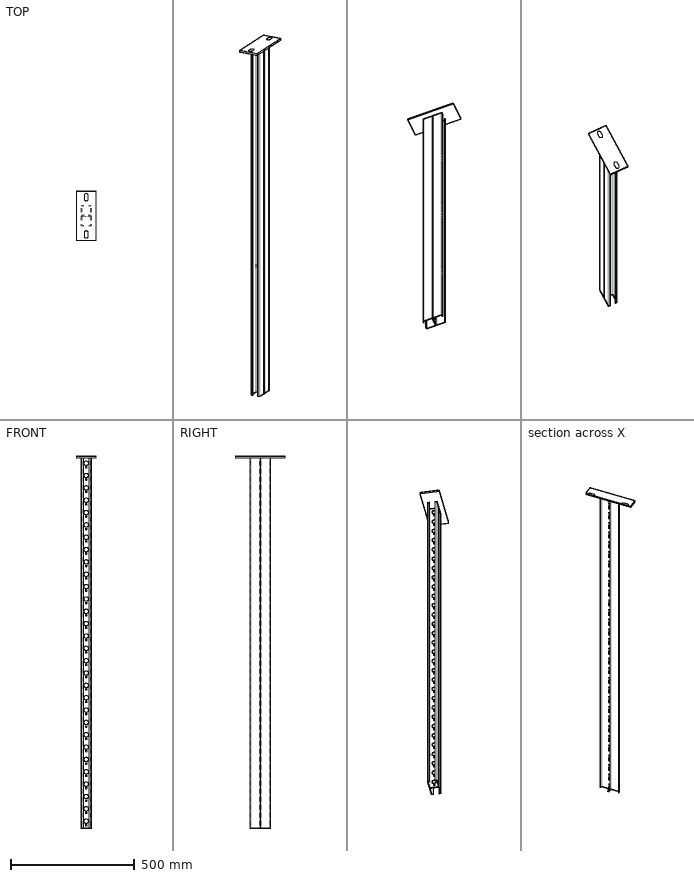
import cadquery as cq

plate_x = 80.0
plate_y = 200.0
plate_thickness = 8.0
plate_slot_spacing = 151.0
plate_slot_length = 30.0
plate_slot_width = 15.0
plate_slot_depth = 0.8

total_height = 1508.0
channel_length = total_height - plate_thickness
channel_width = 40.0
channel_depth = 42.0
wall = 2.5
bend_radius = 3.8
mouth_width = 23.0

pair_count = 30
pair_pitch = channel_length / pair_count
large_hole_diameter = 18.0
large_hole_rise = 5.0
small_hole_diameter = 6.0
small_hole_drop = 12.0


def make_head_plate():
    """Flat plate with a shallow slot in its top face near each end."""
    half_spacing = plate_slot_spacing / 2
    slots = (
        cq.Workplane("XY", origin=(0, 0, total_height - plate_slot_depth))
        .pushPoints([(0, -half_spacing), (0, half_spacing)])
        .slot2D(plate_slot_length, plate_slot_width, 90)
        .extrude(plate_slot_depth)
    )
    return (
        cq.Workplane("XY", origin=(0, 0, channel_length))
        .box(plate_x, plate_y, plate_thickness, centered=(True, True, False))
        .cut(slots)
    )


def rounded_bar(width, depth, radius):
    """Upright bar as long as a channel, with rounded corners, centred on the Z axis."""
    return cq.Workplane("XY").rect(width, depth).extrude(channel_length).edges("|Z").fillet(radius)


def make_channel():
    """Channel with its web on y = 0 and its mouth, between two lips, facing -Y."""
    outside = rounded_bar(channel_width, channel_depth, bend_radius)
    inside = rounded_bar(channel_width - 2 * wall, channel_depth - 2 * wall, bend_radius - wall)
    mouth = (
        cq.Workplane("XY")
        .center(0, -channel_depth / 2)
        .rect(mouth_width, 2 * wall)
        .extrude(channel_length)
    )
    return outside.cut(inside).cut(mouth).translate((0, -channel_depth / 2, 0))


def make_web_holes():
    """Cutters for the hole pairs: a large hole with a small one below it."""
    middles = [(i + 0.5) * pair_pitch for i in range(pair_count)]
    large_holes = (
        cq.Workplane("XZ")
        .pushPoints([(0, z + large_hole_rise) for z in middles])
        .circle(large_hole_diameter / 2)
        .extrude(wall)
    )
    small_holes = (
        cq.Workplane("XZ")
        .pushPoints([(0, z - small_hole_drop) for z in middles])
        .circle(small_hole_diameter / 2)
        .extrude(wall)
    )
    return large_holes, small_holes


head_plate = make_head_plate()

front_channel = make_channel()
for holes in make_web_holes():
    front_channel = front_channel.cut(holes)

rear_channel = make_channel().rotate((0, 0, 0), (0, 0, 1), 180)

bodies = [head_plate, front_channel, rear_channel]
result = cq.Compound.makeCompound([body.solids().val() for body in bodies])